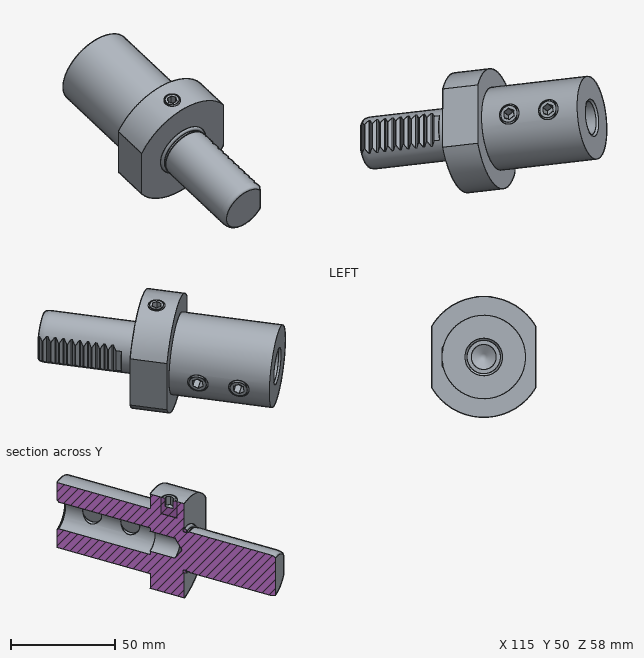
import cadquery as cq
import math

OVERALL_LENGTH = 115.0
SLEEVE_LENGTH = 49.0
SLEEVE_RADIUS = 40.0 / 2

FLANGE_RADIUS = 58.0 / 2
FLANGE_ACROSS_FLATS = 50.0
FLANGE_END = 67.0

SHANK_RADIUS = 25.1 / 2
NECK_RADIUS = 24.4 / 2
NECK_END = 69.5
LEAD_IN_LENGTH = 2.4
LEAD_IN_DROP = 0.3
END_ROUND_LENGTH = 0.9
END_ROUND_DROP = 0.9

FLAT_START = 74.0
FLAT_CORNER_CHAMFER = 0.3
FLAT_HEIGHT = 10.9
ROOT_HEIGHT = 9.4
ROOT_WIDTH = 0.6
FIRST_ROOT = 78.5
LAST_ROOT = 114.5
ROOT_COUNT = 10

BORE_RADIUS = 16.0 / 2
BORE_DEPTH = SLEEVE_LENGTH
BORE_CHAMFER = 1.0
CORE_RADIUS = 12.0 / 2
CORE_END = 62.1
DRILL_POINT_ANGLE = 118.0

SEAL_RADIUS = 12.6
SEAL_SECTION_RADIUS = 2.0 / 2
SEAL_OFFSET = 0.4
SEAL_X = FLANGE_END + SEAL_OFFSET

SCREW_CHAMFER_ANGLE = 30.0
CLAMP_SCREW_RADIUS = 10.0 / 2
CLAMP_SCREW_TIP_RADIUS = 8.4 / 2
CLAMP_SCREW_LENGTH = SLEEVE_RADIUS - BORE_RADIUS
CLAMP_SOCKET = 5.0
CLAMP_SCREW_PLACES = (15.0, 35.0)
FLANGE_SCREW_RADIUS = 8.0 / 2
FLANGE_SCREW_TIP_RADIUS = 6.7 / 2
FLANGE_SCREW_LENGTH = 10.0
FLANGE_SOCKET = 4.0
FLANGE_SCREW_X = 59.0
SOCKET_TURN = 35.0


def turned_blank():
    """Sleeve and shank as one revolved outline, without the flange."""
    lead_in_start = OVERALL_LENGTH - END_ROUND_LENGTH - LEAD_IN_LENGTH
    lead_in_end = OVERALL_LENGTH - END_ROUND_LENGTH
    lead_in_end_radius = SHANK_RADIUS - LEAD_IN_DROP
    end_radius = lead_in_end_radius - END_ROUND_DROP
    outline = (
        cq.Workplane("XY")
        .lineTo(0, SLEEVE_RADIUS)
        .lineTo(SLEEVE_LENGTH, SLEEVE_RADIUS)
        .lineTo(SLEEVE_LENGTH, NECK_RADIUS)
        .lineTo(NECK_END, NECK_RADIUS)
        .lineTo(NECK_END, SHANK_RADIUS)
        .lineTo(lead_in_start, SHANK_RADIUS)
        .tangentArcPoint((lead_in_end, lead_in_end_radius), relative=False)
        .tangentArcPoint((OVERALL_LENGTH, end_radius), relative=False)
        .lineTo(OVERALL_LENGTH, 0)
        .close()
    )
    return outline.revolve(360, (0, 0, 0), (1, 0, 0))


def flange():
    """Disc between sleeve and shank, trimmed by the two flats."""
    thickness = FLANGE_END - SLEEVE_LENGTH
    disc = cq.Workplane("YZ", origin=(SLEEVE_LENGTH, 0, 0)).circle(FLANGE_RADIUS).extrude(thickness)
    trim = (
        cq.Workplane("YZ", origin=(SLEEVE_LENGTH, 0, 0))
        .rect(FLANGE_ACROSS_FLATS, 2 * FLANGE_RADIUS)
        .extrude(thickness)
    )
    return disc.intersect(trim)


def bore():
    """Chamfered tool bore and the drilled hole with its conical bottom."""
    cone_length = CORE_RADIUS / math.tan(math.radians(DRILL_POINT_ANGLE / 2))
    return (
        cq.Workplane("XY")
        .lineTo(0, BORE_RADIUS + BORE_CHAMFER)
        .lineTo(BORE_CHAMFER, BORE_RADIUS)
        .lineTo(BORE_DEPTH, BORE_RADIUS)
        .lineTo(BORE_DEPTH, CORE_RADIUS)
        .lineTo(CORE_END, CORE_RADIUS)
        .lineTo(CORE_END + cone_length, 0)
        .close()
        .revolve(360, (0, 0, 0), (1, 0, 0))
    )


def serration():
    """Material removed for the flat and its row of 90 degree V grooves."""
    cut = (
        cq.Workplane("XY")
        .moveTo(FLAT_START, FLAT_HEIGHT)
        .lineTo(FLAT_START, SHANK_RADIUS - FLAT_CORNER_CHAMFER)
        .lineTo(FLAT_START - FLAT_CORNER_CHAMFER, SHANK_RADIUS)
        .lineTo(OVERALL_LENGTH, SHANK_RADIUS)
        .lineTo(OVERALL_LENGTH, FLAT_HEIGHT)
        .close()
        .extrude(SHANK_RADIUS, both=True)
    )
    pitch = (LAST_ROOT - FIRST_ROOT) / (ROOT_COUNT - 1)
    half_root = ROOT_WIDTH / 2
    half_mouth = half_root + FLAT_HEIGHT - ROOT_HEIGHT
    for index in range(ROOT_COUNT):
        root_x = FIRST_ROOT + index * pitch
        groove = (
            cq.Workplane("XY")
            .moveTo(root_x - half_mouth, FLAT_HEIGHT)
            .lineTo(root_x - half_root, ROOT_HEIGHT)
            .lineTo(root_x + half_root, ROOT_HEIGHT)
            .lineTo(root_x + half_mouth, FLAT_HEIGHT)
            .close()
            .extrude(SHANK_RADIUS, both=True)
        )
        cut = cut.union(groove)
    return cut


def seal_ring():
    """Ring of round section around the X axis."""
    return (
        cq.Workplane("XY")
        .center(SEAL_X, SEAL_RADIUS)
        .circle(SEAL_SECTION_RADIUS)
        .revolve(360, (0, -SEAL_RADIUS, 0), (1, -SEAL_RADIUS, 0))
    )


def screw_envelope(radius, tip_radius, length):
    """Cylinder hanging down from z = 0 with a chamfered top edge."""
    chamfer_drop = (radius - tip_radius) * math.tan(math.radians(SCREW_CHAMFER_ANGLE))
    return (
        cq.Workplane("XZ")
        .lineTo(tip_radius, 0)
        .lineTo(radius, -chamfer_drop)
        .lineTo(radius, -length)
        .lineTo(0, -length)
        .close()
        .revolve(360, (0, 0, 0), (0, 1, 0))
    )


def set_screw(radius, tip_radius, length, socket):
    """Set screw with a hexagon socket half as deep as the screw is long."""
    corner_diameter = socket / math.cos(math.pi / 6)
    hexagon = (
        cq.Workplane("XY")
        .polygon(6, corner_diameter)
        .extrude(-length / 2)
        .rotate((0, 0, 0), (0, 0, 1), SOCKET_TURN)
    )
    return screw_envelope(radius, tip_radius, length).cut(hexagon)


def place_in_sleeve(shape, x):
    """Turn a shape from +Z to +Y and set its top level with the sleeve surface."""
    return shape.rotate((0, 0, 0), (1, 0, 0), -90).translate((x, SLEEVE_RADIUS, 0))


def place_in_flange(shape):
    """Set the top of a shape level with the top of the flange."""
    return shape.translate((FLANGE_SCREW_X, 0, FLANGE_RADIUS))


def clamp_screw(x):
    """Screw in the +Y side of the sleeve, ending at the bore."""
    screw = set_screw(CLAMP_SCREW_RADIUS, CLAMP_SCREW_TIP_RADIUS, CLAMP_SCREW_LENGTH, CLAMP_SOCKET)
    return place_in_sleeve(screw, x)


def flange_screw():
    """Screw in the top of the flange."""
    screw = set_screw(FLANGE_SCREW_RADIUS, FLANGE_SCREW_TIP_RADIUS, FLANGE_SCREW_LENGTH, FLANGE_SOCKET)
    return place_in_flange(screw)


def housing():
    """Holder body with recesses that match the seal ring and the screws."""
    body = turned_blank().union(flange()).cut(bore()).cut(serration()).cut(seal_ring())

    clamp_hole = screw_envelope(CLAMP_SCREW_RADIUS, CLAMP_SCREW_TIP_RADIUS, SLEEVE_RADIUS)
    for x in CLAMP_SCREW_PLACES:
        body = body.cut(place_in_sleeve(clamp_hole, x))

    flange_hole = screw_envelope(FLANGE_SCREW_RADIUS, FLANGE_SCREW_TIP_RADIUS, FLANGE_SCREW_LENGTH)
    return body.cut(place_in_flange(flange_hole))


holder = housing()
seal = seal_ring()
clamp_screws = [clamp_screw(x) for x in CLAMP_SCREW_PLACES]
top_screw = flange_screw()

result = cq.Compound.makeCompound(
    [holder.val(), seal.val(), *[screw.val() for screw in clamp_screws], top_screw.val()]
)